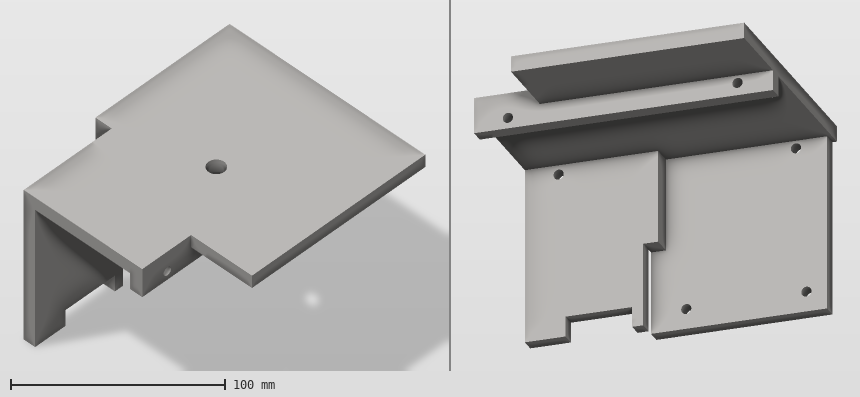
import cadquery as cq

width = 127.6
length = 148.0
height = 95.5

plate_thickness = 7.8
tongue_left = 10.7
tongue_right = 87.9
left_step = 58.6
right_step = 32.5
center_hole_diameter = 10.0
center_hole_x = width / 2
center_hole_y = length / 2

wall_thickness = 7.4
rear_overhang = 2.2
web_bottom = 41.5
inner_wall_right = tongue_left + wall_thickness

rib_width = 7.8
rib_bottom = height - 17.9

notch_front = 20.1
notch_rear = 53.1
notch_height = 10.0

cross_hole_diameter = 5.0
lower_hole_height = 10.0
cross_hole_centers = [
    (16.7, height - 12.6),
    (130.4, height - 11.7),
    (76.0, lower_hole_height),
    (135.5, lower_hole_height),
]


def block(x_range, y_range, z_range):
    """Box spanning the given (start, end) range along each axis."""
    size = [end - start for start, end in (x_range, y_range, z_range)]
    corner = (x_range[0], y_range[0], z_range[0])
    return cq.Workplane("XY").box(*size, centered=False).translate(corner)


def top_plate():
    outline = [
        (tongue_left, 0),
        (tongue_right, 0),
        (tongue_right, right_step),
        (width, right_step),
        (width, length),
        (0, length),
        (0, left_step),
        (tongue_left, left_step),
    ]
    plate = cq.Workplane("XY", origin=(0, 0, height - plate_thickness))
    return plate.polyline(outline).close().extrude(plate_thickness)


def outer_wall():
    return block((0, wall_thickness), (left_step, length - rear_overhang), (0, height))


def inner_wall():
    wall = block((tongue_left, inner_wall_right), (0, left_step), (0, height))
    notch = block((tongue_left, inner_wall_right), (notch_front, notch_rear), (0, notch_height))
    return wall.cut(notch)


def web():
    """Short upper wall that ties the offset outer and inner walls together."""
    return block((0, inner_wall_right), (left_step, left_step + wall_thickness), (web_bottom, height))


def rib():
    return block((tongue_right - rib_width, tongue_right), (0, length), (rib_bottom, height))


def center_hole():
    hole = cq.Workplane("XY").center(center_hole_x, center_hole_y)
    return hole.circle(center_hole_diameter / 2).extrude(height)


def cross_holes():
    """Holes along X, passing through the walls and the rib."""
    holes = cq.Workplane("YZ").pushPoints(cross_hole_centers)
    return holes.circle(cross_hole_diameter / 2).extrude(width)


body = top_plate().union(outer_wall()).union(inner_wall()).union(web()).union(rib())
result = body.cut(center_hole()).cut(cross_holes()).clean()